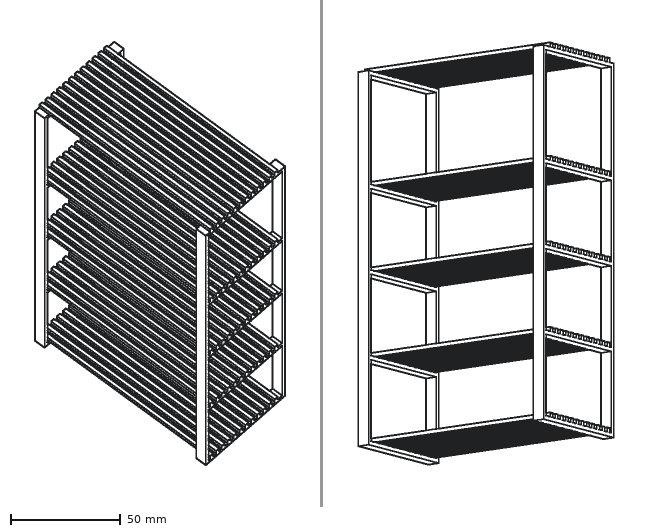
import cadquery as cq

rack_width = 106.0
rack_depth = 54.0
rack_height = 177.0

slat_count = 12
slat_field_depth = 46.0
slat_thickness = slat_field_depth / (2 * slat_count - 1)
slat_pitch = 2 * slat_thickness

post_width = 6.0
post_depth = slat_thickness
rail_height = slat_thickness

first_slat_y = post_depth + slat_thickness / 2

post_height = rack_height - slat_thickness
shelf_pitch = 40.0
lower_shelf_count = 4
top_shelf_level = post_height - rail_height
shelf_levels = [shelf_pitch * i for i in range(lower_shelf_count)] + [top_shelf_level]


def block(x, y, z, width, depth, height):
    """Box with its lowest left front corner at (x, y, z)."""
    return cq.Workplane("XY").box(width, depth, height, centered=False).translate((x, y, z))


def side_frame(x):
    """Two posts joined by one rail per shelf, with its left face at x."""
    frame = block(x, 0, 0, post_width, rack_depth, post_height)
    opening_depth = rack_depth - 2 * post_depth
    for lower, upper in zip(shelf_levels, shelf_levels[1:]):
        opening_bottom = lower + rail_height
        opening_height = upper - opening_bottom
        frame = frame.cut(block(x, post_depth, opening_bottom, post_width, opening_depth, opening_height))
    return frame


def shelf_slats(level):
    """Row of full-width slats resting on the rails at one shelf level."""
    slat_bottom = level + rail_height
    return [
        block(0, first_slat_y + i * slat_pitch, slat_bottom, rack_width, slat_thickness, slat_thickness)
        for i in range(slat_count)
    ]


rack = side_frame(0).union(side_frame(rack_width - post_width))
for level in shelf_levels:
    for slat in shelf_slats(level):
        rack = rack.union(slat)

result = rack.translate((-rack_width / 2, -rack_depth / 2, 0))